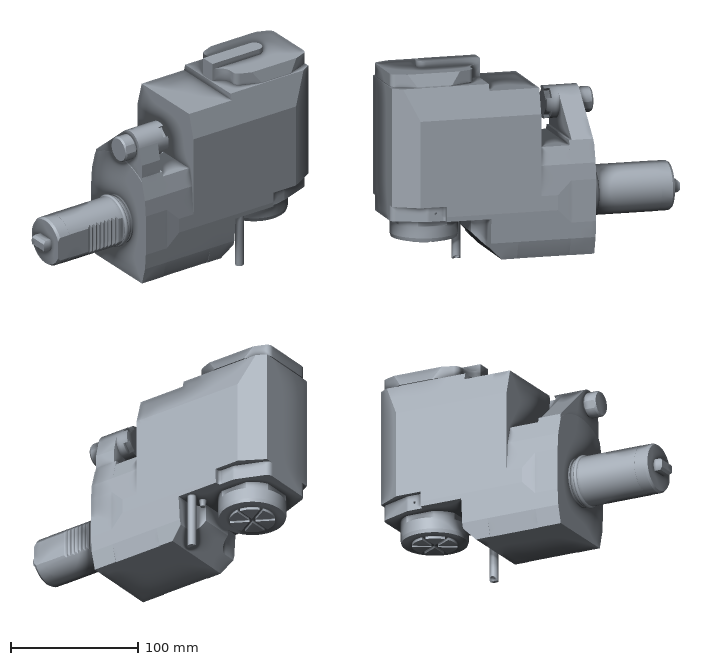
import cadquery as cq
import math

BACK_Y = 164.2
SPINDLE_Y = 130.3

HEAD_HALF_WIDTH = 38.0
HEAD_FRONT_Y = 45.2
STEP_Y = 86.0
HEAD_BOTTOM_Z = -10.0
STEP_Z = 92.1
HEAD_TOP_Z = 97.5
FLANK_START_Z = 72.0
FLANK_SLOPE = 0.28
BACK_HALF_WIDTH = 26.4
CORNER_LENGTH = 20.0

CHIN_TOP_Z = 2.5
CHIN_FRONT_Y = 122.5
CHIN_FLAT_Y = 136.5
CHIN_HALF_WIDTH = 33.4
CHIN_ROOT_RADIUS = 2.0
CHIN_SIDE_RADIUS = 4.8
CHIN_HOLE_DIAMETER = 2.1
CHIN_HOLE_Z = -3.9
CHIN_HOLE_DEPTH = 2.5

PLATE_GAP = 1.0
PLATE_TOP_Z = 108.3
PLATE_CORNER_X = 23.0
PLATE_SLOPE = 0.39
PLATE_WIDEST_X = 32.6
PLATE_CORNER_RADIUS = 5.3
KEY_WIDTH = 12.5
KEY_TOP_Z = 113.5
KEY_BACK_Y = 137.0
SWEEP_RADIUS = 9.7

BELT_HALF_HEIGHT = 6.0
LOWER_KNEE_X = 36.0
LOWER_KNEE_Z = 30.0
LOWER_EDGE_X = 32.0
LOWER_EDGE_Z = 44.2
NOSE_HALF_WIDTH = 14.5
BEVEL_LENGTH = 19.8
EDGE_RELIEF = 0.5
EDGE_RELIEF_END_Y = 63.4
FLANGE_DEPTH = 20.3
FLANGE_TOP_X = 31.0
FLANGE_TOP_Z = 48.0
FLANGE_FLAT_HALF_HEIGHT = 17.0
RELIEF_END_Y = 31.5
PAD_RADIUS = 55.1
PAD_HEIGHT = 0.5

BOLT_X = 15.0
BOLT_Z = 70.0
LUG_RADIUS = 13.0
LUG_BACK_Y = 18.1
LUG_SHOULDER_Z = 59.0
BOLT_DIAMETER = 20.5
BOLT_TIP_Y = -10.6
BOLT_CHAMFER_LENGTH = 1.5
BOLT_CHAMFER_INSET = 1.0
BOLT_FLATS_ACROSS = 19.5
BOLT_FLATS_ANGLE = 18
KNOB_BACK_Y = 28.5
KNOB_SLOT_WIDTH = 9.2
KNOB_SLOT_RADIAL = 3.9
KNOB_SLOT_LENGTH = 4.4
KNOB_SLOT_COUNT = 4

SHANK_DIAMETER = 40.0
SHANK_RADIUS = SHANK_DIAMETER / 2
SHANK_LENGTH = 70.4
SHANK_TIP_RADIUS = 19.8
SHANK_TIP_START = 59.2
SHANK_CHAMFER_INSET = 1.2
SHANK_CHAMFER_LENGTH = 2.0
NECK_GROOVE_RADIUS = 19.0
NECK_GROOVE_START = 1.5
NECK_GROOVE_END = 3.1
SEAL_DISTANCE = 6.3
SEAL_RADIUS = 1.7
SEAL_OUTER_RADIUS = 21.3
SHANK_FLAT_X = 17.2
SHANK_FLAT_START = 8.2
TOOTH_PITCH = 3.6
TOOTH_DEPTH = 1.5
TOOTH_COUNT = 8
TOOTH_START = 12.0
TANG_DIAMETER = 17.0
TANG_HEIGHT = 9.7
TANG_LENGTH = 7.3
TANG_CHAMFER = 2.0

TUBE_X = 31.2
TUBE_Y = 94.3
TUBE_DIAMETER = 7.0
TUBE_BOTTOM_Z = -55.1
TUBE_BEVEL = 3.5
TUBE_BORE = 4.0
TUBE_BORE_DEPTH = 3.6
NOZZLE_X = 20.5
NOZZLE_Y = 97.2
NOZZLE_TOP_DIAMETER = 6.3
NOZZLE_TIP_DIAMETER = 4.0
NOZZLE_LENGTH = 5.3

NUT_FLATS_ACROSS = 48.4
NUT_FLATS_HEIGHT = 5.3
NUT_DIAMETER = 54.0
NUT_HEIGHT = 12.3
NUT_CHAMFER_HEIGHT = 3.0
NUT_CHAMFER_INSET = 0.7
COLLET_DIAMETER = 36.0
COLLET_HEIGHT = 2.2
COLLET_SLOT_WIDTH = 3.0
COLLET_CUTS = 3


def box(x_min, x_max, y_min, y_max, z_min, z_max):
    """Box given by its limits."""
    size = (x_max - x_min, y_max - y_min, z_max - z_min)
    return cq.Workplane("XY").box(*size, centered=False).translate((x_min, y_min, z_min))


def along_y(outline, y_min, y_max):
    """Extrude a closed XZ outline between two Y positions."""
    return outline(cq.Workplane("XZ", origin=(0, y_max, 0))).extrude(y_max - y_min)


def rod_y(x, z, diameter, y_min, y_max):
    """Cylinder parallel to Y."""
    return along_y(lambda plane: plane.center(x, z).circle(diameter / 2), y_min, y_max)


def symmetric(right_side):
    """Closed outline from its +X points, mirrored about X = 0."""
    left_side = [(-x, v) for x, v in reversed(right_side)]
    return lambda plane: plane.polyline(right_side + left_side).close()


def flank_x(z):
    """Half width of the head on its leaning flanks."""
    return HEAD_HALF_WIDTH - FLANK_SLOPE * (z - FLANK_START_Z)


def upright_edges(body, half_width, y):
    """The pair of vertical edges of a body at X = +-half_width and one Y."""
    reach = 0.2
    columns = [
        cq.selectors.BoxSelector(
            (side * half_width - reach, y - reach, HEAD_BOTTOM_Z - reach),
            (side * half_width + reach, y + reach, PLATE_TOP_Z + reach))
        for side in (-1, 1)
    ]
    return body.edges("|Z").edges(columns[0] + columns[1])


def make_head():
    section = symmetric([
        (HEAD_HALF_WIDTH, HEAD_BOTTOM_Z),
        (HEAD_HALF_WIDTH, FLANK_START_Z),
        (flank_x(HEAD_TOP_Z), HEAD_TOP_Z),
    ])
    plan = symmetric([
        (HEAD_HALF_WIDTH, HEAD_FRONT_Y),
        (HEAD_HALF_WIDTH, BACK_Y - CORNER_LENGTH),
        (BACK_HALF_WIDTH, BACK_Y),
    ])
    height = HEAD_TOP_Z - HEAD_BOTTOM_Z
    block = plan(cq.Workplane("XY", origin=(0, 0, HEAD_BOTTOM_Z))).extrude(height)
    head = along_y(section, HEAD_FRONT_Y, BACK_Y).intersect(block)
    step = box(-HEAD_HALF_WIDTH, HEAD_HALF_WIDTH, HEAD_FRONT_Y, STEP_Y, STEP_Z, HEAD_TOP_Z)
    lower_edges = along_y(lower_outline(HEAD_TOP_Z), HEAD_FRONT_Y, BACK_Y)
    lower_edges = lower_edges.union(box(
        -HEAD_HALF_WIDTH, HEAD_HALF_WIDTH, HEAD_FRONT_Y, BACK_Y, 0, HEAD_TOP_Z))
    return head.cut(step).intersect(lower_edges).cut(make_chin_cut())


def make_chin_cut():
    """Material removed around the chin, with the small side hole."""
    height = CHIN_TOP_Z - HEAD_BOTTOM_Z
    band = box(-HEAD_HALF_WIDTH, HEAD_HALF_WIDTH, CHIN_FRONT_Y, BACK_Y, HEAD_BOTTOM_Z, CHIN_TOP_Z)
    plan = symmetric([
        (CHIN_HALF_WIDTH, CHIN_FRONT_Y),
        (CHIN_HALF_WIDTH, CHIN_FLAT_Y),
        (PLATE_CORNER_X, BACK_Y),
    ])
    chin = plan(cq.Workplane("XY", origin=(0, 0, HEAD_BOTTOM_Z))).extrude(height)
    chin = upright_edges(chin, PLATE_CORNER_X, BACK_Y).fillet(PLATE_CORNER_RADIUS)
    chin = upright_edges(chin, CHIN_HALF_WIDTH, CHIN_FLAT_Y).fillet(CHIN_SIDE_RADIUS)
    band = band.cut(chin)
    band = upright_edges(band, CHIN_HALF_WIDTH, CHIN_FRONT_Y).fillet(CHIN_ROOT_RADIUS)
    hole_plane = cq.Workplane("YZ", origin=(-HEAD_HALF_WIDTH, SPINDLE_Y, CHIN_HOLE_Z))
    hole_end = HEAD_HALF_WIDTH - CHIN_HALF_WIDTH + CHIN_HOLE_DEPTH
    hole = hole_plane.circle(CHIN_HOLE_DIAMETER / 2).extrude(hole_end)
    return band.union(hole)


def plate_outline(plane):
    """Plan of the top plate: tapered ends and concave sweeps beside the key."""
    widening = (PLATE_WIDEST_X - PLATE_CORNER_X) / PLATE_SLOPE
    front_y = 2 * SPINDLE_Y - BACK_Y
    key_x = KEY_WIDTH / 2
    middle = SWEEP_RADIUS * (1 - math.sqrt(0.5))
    return (
        plane.moveTo(PLATE_CORNER_X, BACK_Y)
        .lineTo(PLATE_WIDEST_X, BACK_Y - widening)
        .lineTo(PLATE_WIDEST_X, front_y + widening)
        .lineTo(PLATE_CORNER_X, front_y)
        .lineTo(key_x + SWEEP_RADIUS, front_y)
        .threePointArc((key_x + middle, front_y - middle), (key_x, front_y - SWEEP_RADIUS))
        .lineTo(-key_x, front_y - SWEEP_RADIUS)
        .threePointArc((-key_x - middle, front_y - middle), (-key_x - SWEEP_RADIUS, front_y))
        .lineTo(-PLATE_CORNER_X, front_y)
        .lineTo(-PLATE_WIDEST_X, front_y + widening)
        .lineTo(-PLATE_WIDEST_X, BACK_Y - widening)
        .lineTo(-PLATE_CORNER_X, BACK_Y)
        .close()
    )


def trim_to_flanks(layer, z_min, z_max, inset):
    """Trim a layer of the plate to the leaning flanks, moved in by the inset."""
    flanks = symmetric([(flank_x(z_min) - inset, z_min), (flank_x(z_max) - inset, z_max)])
    return layer.intersect(along_y(flanks, STEP_Y, BACK_Y))


def make_top_plate():
    plate_bottom = HEAD_TOP_Z + PLATE_GAP
    plate_plane = cq.Workplane("XY", origin=(0, 0, plate_bottom))
    plate = plate_outline(plate_plane).extrude(PLATE_TOP_Z - plate_bottom)
    for end_y in (BACK_Y, 2 * SPINDLE_Y - BACK_Y):
        plate = upright_edges(plate, PLATE_CORNER_X, end_y).fillet(PLATE_CORNER_RADIUS)
    rim = plate.faces("<Z").wires()
    undercut = rim.toPending().offset2D(-PLATE_GAP).extrude(-PLATE_GAP, combine=False)
    undercut = trim_to_flanks(undercut, HEAD_TOP_Z, plate_bottom, PLATE_GAP)
    plate = trim_to_flanks(plate, plate_bottom, PLATE_TOP_Z, 0)
    key_x = KEY_WIDTH / 2
    round_y = KEY_BACK_Y - key_x
    key = box(-key_x, key_x, STEP_Y, round_y, plate_bottom, KEY_TOP_Z)
    key_end = cq.Workplane("XY", origin=(0, round_y, plate_bottom)).circle(key_x)
    key_end = key_end.extrude(KEY_TOP_Z - plate_bottom)
    return plate.union(undercut).union(key).union(key_end)


def lower_outline(top_z, top_x=LOWER_EDGE_X):
    """Section of the lower body, with its top edge at a chosen place."""
    return symmetric([
        (LOWER_EDGE_X, -LOWER_EDGE_Z),
        (LOWER_KNEE_X, -LOWER_KNEE_Z),
        (HEAD_HALF_WIDTH, -BELT_HALF_HEIGHT),
        (HEAD_HALF_WIDTH, BELT_HALF_HEIGHT),
        (LOWER_KNEE_X, LOWER_KNEE_Z),
        (top_x, top_z),
    ])


def edge_relief_outline(plane, side):
    """Thin wedge cut from a lower flank; side is +1 or -1."""
    return (
        plane.moveTo(side * LOWER_KNEE_X, -LOWER_KNEE_Z)
        .lineTo(side * LOWER_EDGE_X, -LOWER_EDGE_Z)
        .lineTo(side * (LOWER_EDGE_X - EDGE_RELIEF), -LOWER_EDGE_Z)
        .close()
    )


def make_lower_body():
    body = along_y(lower_outline(LOWER_EDGE_Z), PAD_HEIGHT, STEP_Y)
    flange_outline = lower_outline(FLANGE_TOP_Z, FLANGE_TOP_X)
    flange = along_y(flange_outline, PAD_HEIGHT, FLANGE_DEPTH)
    pad = along_y(flange_outline, 0, PAD_HEIGHT).union(along_y(lug_outline, 0, PAD_HEIGHT))
    pad = pad.intersect(rod_y(0, 0, 2 * PAD_RADIUS, 0, PAD_HEIGHT))
    body = body.union(flange).union(pad).union(make_nose())
    for side in (-1, 1):
        body = body.cut(along_y(lambda plane: edge_relief_outline(plane, side),
                                FLANGE_DEPTH, EDGE_RELIEF_END_Y))
    bevel_y = STEP_Y + SWEEP_RADIUS
    bevel = (
        cq.Workplane("YZ", origin=(-HEAD_HALF_WIDTH, 0, 0))
        .moveTo(bevel_y, -LOWER_EDGE_Z + BEVEL_LENGTH)
        .lineTo(bevel_y - BEVEL_LENGTH, -LOWER_EDGE_Z)
        .lineTo(bevel_y, -LOWER_EDGE_Z)
        .close()
        .extrude(2 * HEAD_HALF_WIDTH)
    )
    belt_slope = (HEAD_HALF_WIDTH - LOWER_KNEE_X) / (LOWER_KNEE_Z - BELT_HALF_HEIGHT)
    flat_x = HEAD_HALF_WIDTH - belt_slope * (FLANGE_FLAT_HALF_HEIGHT - BELT_HALF_HEIGHT)
    plan = symmetric([
        (flat_x, 0),
        (flat_x, FLANGE_DEPTH),
        (HEAD_HALF_WIDTH, RELIEF_END_Y),
        (HEAD_HALF_WIDTH, bevel_y),
    ])
    height = PAD_RADIUS + LOWER_EDGE_Z
    limits = plan(cq.Workplane("XY", origin=(0, 0, -LOWER_EDGE_Z))).extrude(height)
    return body.cut(bevel).intersect(limits)


def make_nose():
    """Narrow rear nose joined to the rear wall by concave sweeps."""
    outer_x = NOSE_HALF_WIDTH + SWEEP_RADIUS
    nose_y = STEP_Y + SWEEP_RADIUS
    middle = SWEEP_RADIUS * (1 - math.sqrt(0.5))
    return (
        cq.Workplane("XY", origin=(0, 0, -LOWER_EDGE_Z))
        .moveTo(-outer_x, STEP_Y)
        .lineTo(outer_x, STEP_Y)
        .threePointArc((NOSE_HALF_WIDTH + middle, STEP_Y + middle), (NOSE_HALF_WIDTH, nose_y))
        .lineTo(-NOSE_HALF_WIDTH, nose_y)
        .threePointArc((-NOSE_HALF_WIDTH - middle, STEP_Y + middle), (-outer_x, STEP_Y))
        .close()
        .extrude(LOWER_EDGE_Z + HEAD_BOTTOM_Z)
    )


def lug_tangent(x, z, side):
    """Point where the line from (x, z) touches the round lug end; side is +1 or -1."""
    distance = math.hypot(x - BOLT_X, z - BOLT_Z)
    angle = math.atan2(z - BOLT_Z, x - BOLT_X) + side * math.acos(LUG_RADIUS / distance)
    return (BOLT_X + LUG_RADIUS * math.cos(angle), BOLT_Z + LUG_RADIUS * math.sin(angle))


def lug_outline(plane):
    """Outline of the lug: two straight sides running tangent into its round end."""
    left_foot = (-FLANGE_TOP_X, FLANGE_TOP_Z)
    shoulder = (FLANGE_TOP_X, LUG_SHOULDER_Z)
    return (
        plane.moveTo(*left_foot)
        .lineTo(*lug_tangent(*left_foot, -1))
        .threePointArc((BOLT_X, BOLT_Z + LUG_RADIUS), lug_tangent(*shoulder, 1))
        .lineTo(*shoulder)
        .lineTo(FLANGE_TOP_X, FLANGE_TOP_Z)
        .close()
    )


def make_lug():
    lug = along_y(lug_outline, PAD_HEIGHT, LUG_BACK_Y)
    knob = rod_y(BOLT_X, BOLT_Z, 2 * LUG_RADIUS, LUG_BACK_Y, KNOB_BACK_Y)
    slot = box(
        LUG_RADIUS - KNOB_SLOT_RADIAL, LUG_RADIUS + KNOB_SLOT_RADIAL,
        KNOB_BACK_Y - KNOB_SLOT_LENGTH, KNOB_BACK_Y,
        -KNOB_SLOT_WIDTH / 2, KNOB_SLOT_WIDTH / 2,
    )
    for index in range(KNOB_SLOT_COUNT):
        angle = (index + 0.5) * 360 / KNOB_SLOT_COUNT
        turned_slot = slot.rotate((0, 0, 0), (0, 1, 0), angle)
        knob = knob.cut(turned_slot.translate((BOLT_X, 0, BOLT_Z)))
    return lug.union(make_bolt()).union(knob)


def make_bolt():
    """Bolt end in front of the lug, chamfered at both ends and with two flats."""
    bolt = rod_y(BOLT_X, BOLT_Z, BOLT_DIAMETER, BOLT_TIP_Y, PAD_HEIGHT)
    bolt = bolt.faces("<Y or >Y").chamfer(BOLT_CHAMFER_LENGTH, BOLT_CHAMFER_INSET)
    half_width = BOLT_FLATS_ACROSS / 2
    limits = box(
        -half_width, half_width, BOLT_TIP_Y, PAD_HEIGHT, -BOLT_DIAMETER, BOLT_DIAMETER)
    limits = limits.rotate((0, 0, 0), (0, 1, 0), -BOLT_FLATS_ANGLE)
    return bolt.intersect(limits.translate((BOLT_X, 0, BOLT_Z)))


def make_shank():
    profile = [
        (0, 0),
        (SHANK_RADIUS, 0),
        (SHANK_RADIUS, -NECK_GROOVE_START),
        (NECK_GROOVE_RADIUS, -NECK_GROOVE_START),
        (NECK_GROOVE_RADIUS, -NECK_GROOVE_END),
        (SHANK_RADIUS, -NECK_GROOVE_END),
        (SHANK_RADIUS, -SHANK_TIP_START),
        (SHANK_TIP_RADIUS, -SHANK_TIP_START),
        (SHANK_TIP_RADIUS, -SHANK_LENGTH + SHANK_CHAMFER_LENGTH),
        (SHANK_TIP_RADIUS - SHANK_CHAMFER_INSET, -SHANK_LENGTH),
        (0, -SHANK_LENGTH),
    ]
    shank = cq.Workplane("XY").polyline(profile).close().revolve(360, (0, 0, 0), (0, 1, 0))
    flat = box(
        SHANK_FLAT_X, SHANK_RADIUS, -SHANK_LENGTH, -SHANK_FLAT_START, -SHANK_RADIUS, SHANK_RADIUS)
    seal_x = SEAL_OUTER_RADIUS - SEAL_RADIUS
    seal = (
        cq.Workplane("XY")
        .moveTo(0, SEAL_RADIUS - SEAL_DISTANCE)
        .lineTo(seal_x, SEAL_RADIUS - SEAL_DISTANCE)
        .threePointArc((SEAL_OUTER_RADIUS, -SEAL_DISTANCE), (seal_x, -SEAL_DISTANCE - SEAL_RADIUS))
        .lineTo(0, -SEAL_DISTANCE - SEAL_RADIUS)
        .close()
        .revolve(360, (0, 0, 0), (0, 1, 0))
    )
    return shank.cut(flat).cut(make_tooth_gaps()).union(seal).union(make_tang())


def make_tooth_gaps():
    """V-shaped gaps of the clamping teeth, cut into the shank flat."""
    gaps = cq.Workplane("XY")
    for index in range(TOOTH_COUNT):
        start = -TOOTH_START - index * TOOTH_PITCH
        gap = (
            cq.Workplane("XY", origin=(0, 0, -SHANK_RADIUS))
            .moveTo(SHANK_FLAT_X, start)
            .lineTo(SHANK_FLAT_X - TOOTH_DEPTH, start - TOOTH_PITCH / 2)
            .lineTo(SHANK_FLAT_X, start - TOOTH_PITCH)
            .close()
            .extrude(2 * SHANK_RADIUS)
        )
        gaps = gaps.add(gap)
    return gaps.combine()


def make_tang():
    """Round drive tang with two flats, bevelled at the tip."""
    radius = TANG_DIAMETER / 2
    tip_y = -SHANK_LENGTH - TANG_LENGTH
    flats = box(-radius, radius, tip_y, -SHANK_LENGTH, -TANG_HEIGHT / 2, TANG_HEIGHT / 2)
    flats = flats.edges("|X and <Y").chamfer(TANG_CHAMFER)
    return rod_y(0, 0, TANG_DIAMETER, tip_y, -SHANK_LENGTH).intersect(flats)


def make_coolant_tube():
    radius = TUBE_DIAMETER / 2
    tube = (
        cq.Workplane("XY", origin=(TUBE_X, TUBE_Y, TUBE_BOTTOM_Z))
        .circle(radius)
        .extrude(HEAD_BOTTOM_Z - TUBE_BOTTOM_Z)
    )
    left_x = TUBE_X - radius
    bevel = (
        cq.Workplane("XZ", origin=(0, TUBE_Y + radius, 0))
        .moveTo(left_x, TUBE_BOTTOM_Z)
        .lineTo(left_x + TUBE_BEVEL, TUBE_BOTTOM_Z)
        .lineTo(left_x, TUBE_BOTTOM_Z + TUBE_BEVEL)
        .close()
        .extrude(TUBE_DIAMETER)
    )
    outlet = cq.Workplane("XY").add(cq.Solid.makeCylinder(
        TUBE_BORE / 2, TUBE_BORE_DEPTH,
        cq.Vector(left_x + TUBE_BEVEL / 2, TUBE_Y, TUBE_BOTTOM_Z + TUBE_BEVEL / 2),
        cq.Vector(1, 0, 1)))
    return tube.cut(bevel).cut(outlet)


def make_nozzle():
    return cq.Workplane("XY").add(cq.Solid.makeCone(
        NOZZLE_TOP_DIAMETER / 2, NOZZLE_TIP_DIAMETER / 2, NOZZLE_LENGTH,
        cq.Vector(NOZZLE_X, NOZZLE_Y, HEAD_BOTTOM_Z), cq.Vector(0, 0, -1)))


def make_housing():
    return (
        make_head()
        .union(make_top_plate())
        .union(make_lower_body())
        .union(make_lug())
        .union(make_shank())
        .union(make_coolant_tube())
        .union(make_nozzle())
    )


def make_collet_nut():
    """Spindle nut below the head, with four wrench flats and the slotted collet face."""
    flat_x = NUT_FLATS_ACROSS / 2
    neck = cq.Workplane("XY").circle(NUT_DIAMETER / 2).extrude(-NUT_FLATS_HEIGHT)
    neck = neck.intersect(box(-flat_x, flat_x, -flat_x, flat_x, -NUT_FLATS_HEIGHT, 0))
    ring_bottom = -NUT_FLATS_HEIGHT - NUT_HEIGHT
    ring = (
        cq.Workplane("XY", origin=(0, 0, ring_bottom))
        .circle(NUT_DIAMETER / 2)
        .extrude(NUT_HEIGHT)
        .faces("<Z")
        .chamfer(NUT_CHAMFER_HEIGHT, NUT_CHAMFER_INSET)
    )
    collet = (
        cq.Workplane("XY", origin=(0, 0, ring_bottom))
        .circle(COLLET_DIAMETER / 2)
        .extrude(-COLLET_HEIGHT)
    )
    half_slot = COLLET_SLOT_WIDTH / 2
    slot = box(
        -COLLET_DIAMETER, COLLET_DIAMETER, -half_slot, half_slot,
        ring_bottom - COLLET_HEIGHT, ring_bottom)
    for index in range(COLLET_CUTS):
        collet = collet.cut(slot.rotate((0, 0, 0), (0, 0, 1), index * 180 / COLLET_CUTS))
    return neck.union(ring).union(collet).translate((0, SPINDLE_Y, HEAD_BOTTOM_Z))


housing = make_housing()
collet_nut = make_collet_nut()
result = cq.Compound.makeCompound([housing.solids().val(), collet_nut.solids().val()])